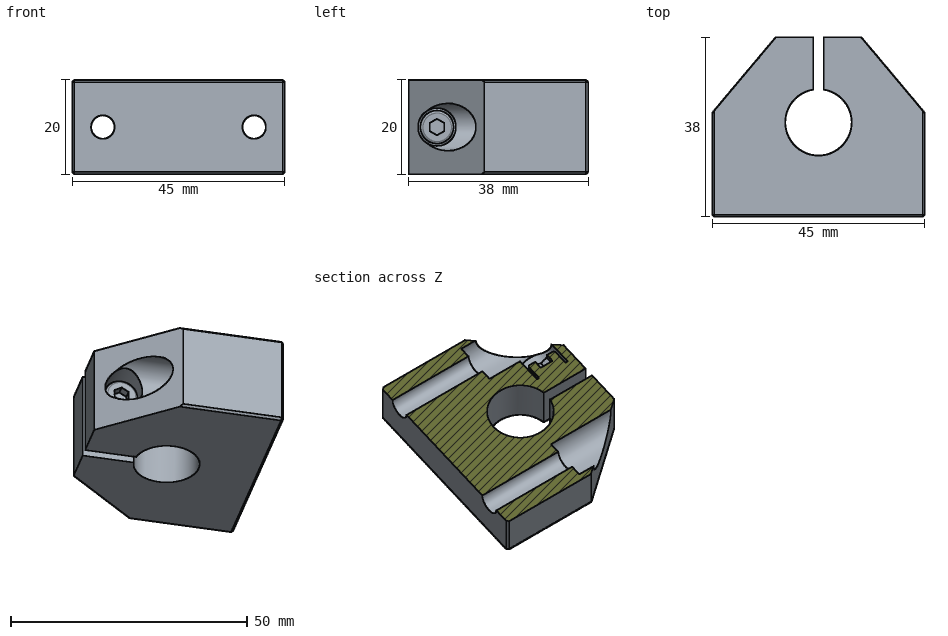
import cadquery as cq
import math

width = 45.0
depth = 38.0
height = 20.0
edge_chamfer = 0.5
shoulder_length = 16.0
shoulder_angle = 50.0

bore_diameter = 14.0
bore_y = 20.0
slot_width = 2.15

mount_spacing = 32.0
mount_diameter = 4.9
mount_counterbore_diameter = 10.0
mount_seat_y = 20.0

screw_y = depth - 6.0
screw_recess_diameter = 8.0
screw_seat_x = -5.0
head_diameter = 7.0
head_height = 4.0
head_fillet = 0.5
socket_flats = 3.0
socket_depth = 2.0


def make_block():
    half_width = width / 2
    shoulder_y = depth - shoulder_length
    top_half_width = half_width - shoulder_length / math.tan(math.radians(shoulder_angle))
    box = cq.Workplane("XY").box(width, depth, height).translate((0, depth / 2, 0))
    box = box.faces("<Y or <X or >X").edges("not(>Y and |Z)").chamfer(edge_chamfer)
    outline = (
        cq.Workplane("XY")
        .polyline([
            (-half_width, 0),
            (half_width, 0),
            (half_width, shoulder_y),
            (top_half_width, depth),
            (-top_half_width, depth),
            (-half_width, shoulder_y),
        ])
        .close()
        .extrude(height / 2, both=True)
    )
    return box.intersect(outline)


def cylinder_along_y(diameter, x, start_y, end_y):
    return cq.Workplane("XZ", origin=(x, start_y, 0)).circle(diameter / 2).extrude(start_y - end_y)


def cut_bore_and_slot(body):
    bore = cq.Workplane("XY").center(0, bore_y).circle(bore_diameter / 2).extrude(height / 2, both=True)
    slot_length = depth - bore_y
    slot = cq.Workplane("XY").box(slot_width, slot_length, height)
    return body.cut(bore).cut(slot.translate((0, bore_y + slot_length / 2, 0)))


def cut_mounting_holes(body):
    for x in (-mount_spacing / 2, mount_spacing / 2):
        body = body.cut(cylinder_along_y(mount_diameter, x, 0, depth))
        body = body.cut(cylinder_along_y(mount_counterbore_diameter, x, mount_seat_y, depth))
    return body


def add_clamp_screw(body):
    seat = cq.Workplane("YZ", origin=(screw_seat_x, screw_y, 0))
    recess = seat.circle(screw_recess_diameter / 2).extrude(-width / 2)
    head = seat.circle(head_diameter / 2).extrude(-head_height)
    head = head.faces("<X").edges().fillet(head_fillet)
    socket_corners = socket_flats / math.cos(math.pi / 6)
    socket = (
        cq.Workplane("YZ", origin=(screw_seat_x - head_height, screw_y, 0))
        .transformed(rotate=(0, 0, 90))
        .polygon(6, socket_corners)
        .extrude(socket_depth)
    )
    return body.cut(recess).union(head.cut(socket))


result = make_block()
result = cut_bore_and_slot(result)
result = cut_mounting_holes(result)
result = add_clamp_screw(result)